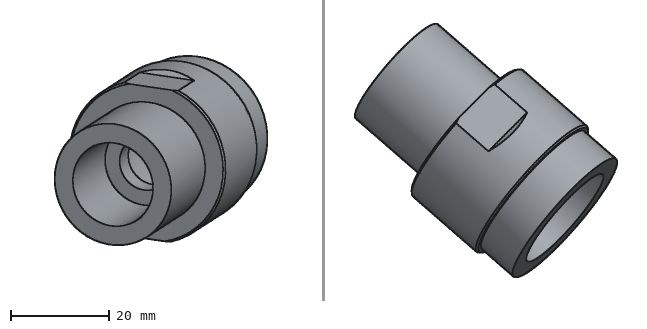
import cadquery as cq

tilt = 7.5
total_length = 46.1
spigot_diameter = 25.45
collar_diameter = 34.05
rear_diameter = 31.75
collar_start = 19.1
collar_end = 37.45
collar_chamfer = 0.4

front_bore_diameter = 17.45
front_bore_depth = 18.2
throat_diameter = 11.15
throat_length = 4.9
rear_bore_diameter = 23.35

across_flats = 31.9
flat_end = 28.35


def cylinder(diameter, start, end):
    """Cylinder along +Y between two axial stations."""
    disc = cq.Workplane("XZ", origin=(0, start, 0)).circle(diameter / 2)
    return disc.extrude(start - end)


def flat_cutter(side):
    """Wrench-flat cutter on the +Z or -Z side, ending in a 45 degree ramp."""
    flat_height = across_flats / 2
    outer_height = collar_diameter / 2 + collar_chamfer
    ramp_length = outer_height - flat_height
    profile = [
        (collar_start, side * flat_height),
        (flat_end, side * flat_height),
        (flat_end + ramp_length, side * outer_height),
        (collar_start, side * outer_height),
    ]
    return cq.Workplane("YZ").polyline(profile).close().extrude(collar_diameter / 2, both=True)


collar = cylinder(collar_diameter, collar_start, collar_end)
collar = collar.edges("%CIRCLE").chamfer(collar_chamfer)
for side in (1, -1):
    collar = collar.cut(flat_cutter(side))

body = collar.union(cylinder(spigot_diameter, 0, collar_start))
body = body.union(cylinder(rear_diameter, collar_end, total_length))

throat_end = front_bore_depth + throat_length
body = body.cut(cylinder(front_bore_diameter, 0, front_bore_depth))
body = body.cut(cylinder(throat_diameter, front_bore_depth, throat_end))
body = body.cut(cylinder(rear_bore_diameter, throat_end, total_length))

result = body.translate((0, -total_length / 2, 0)).rotate((0, 0, 0), (1, 0, 0), -tilt)